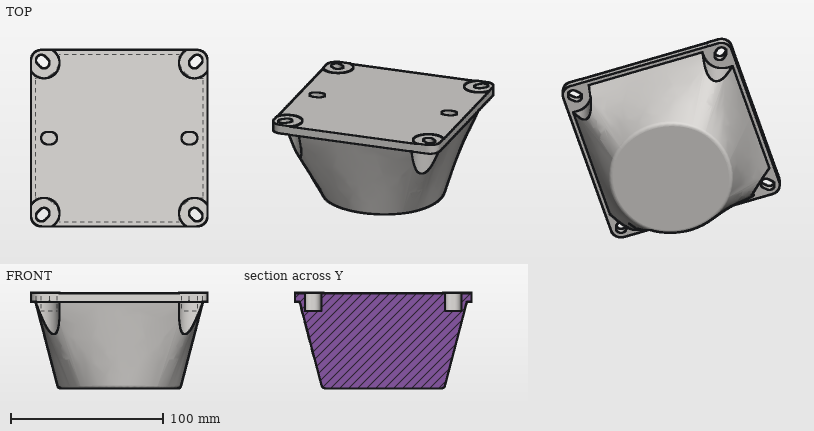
import cadquery as cq

flange_side = 116.0
flange_thickness = 5.8
flange_corner_radius = 7.0

pad_height = 0.3
pad_radius = 10.1
pad_inset = 8.7
slot_inset = 7.8
pad_offset = flange_side / 2 - pad_inset
slot_offset = flange_side / 2 - slot_inset
slot_width = 7.0
slot_length = 9.5

body_top_side = 110.0
body_top_corner_radius = 11.6
body_bottom_radius = 40.1
body_depth = 56.8
body_bottom_fillet = 2.7

clearance_size = pad_inset + pad_radius
clearance_radius = 12.8

blind_slot_offset = 46.0
blind_slot_length = 10.4
blind_slot_width = 8.1
blind_slot_depth = 11.6

top_z = flange_thickness + pad_height
corner_signs = [(sx, sy) for sx in (-1, 1) for sy in (-1, 1)]
pad_centres = [(sx * pad_offset, sy * pad_offset) for sx, sy in corner_signs]


def rounded_square(side, corner_radius, height):
    blank = cq.Workplane("XY").rect(side, side).extrude(height)
    return blank.edges("|Z").fillet(corner_radius)


def tapered_body():
    top_outline = cq.Sketch().rect(body_top_side, body_top_side).vertices().fillet(body_top_corner_radius)
    bottom_outline = cq.Sketch().circle(body_bottom_radius)
    body = (
        cq.Workplane("XY")
        .placeSketch(top_outline, bottom_outline.moved(cq.Location(cq.Vector(0, 0, -body_depth))))
        .loft()
    )
    return body.faces("<Z").edges().fillet(body_bottom_fillet)


def corner_clearance(sx, sy):
    block = cq.Workplane("XY").rect(2 * clearance_size, 2 * clearance_size).extrude(-body_depth)
    block = block.edges("|Z").fillet(clearance_radius)
    return block.translate((sx * flange_side / 2, sy * flange_side / 2, 0))


def corner_pads():
    pads = cq.Workplane("XY").pushPoints(pad_centres).circle(pad_radius).extrude(top_z)
    return pads.intersect(rounded_square(flange_side, flange_corner_radius, top_z))


def corner_slot(sx, sy):
    return (
        cq.Workplane("XY")
        .center(sx * slot_offset, sy * slot_offset)
        .slot2D(slot_length, slot_width, 45 * sx * sy)
        .extrude(top_z)
    )


def blind_slots():
    return (
        cq.Workplane("XY", origin=(0, 0, flange_thickness))
        .pushPoints([(-blind_slot_offset, 0), (blind_slot_offset, 0)])
        .slot2D(blind_slot_length, blind_slot_width)
        .extrude(-blind_slot_depth)
    )


flange = rounded_square(flange_side, flange_corner_radius, flange_thickness)
body = tapered_body()
for sx, sy in corner_signs:
    body = body.cut(corner_clearance(sx, sy))
result = body.union(flange).union(corner_pads())
for sx, sy in corner_signs:
    result = result.cut(corner_slot(sx, sy))
result = result.cut(blind_slots())